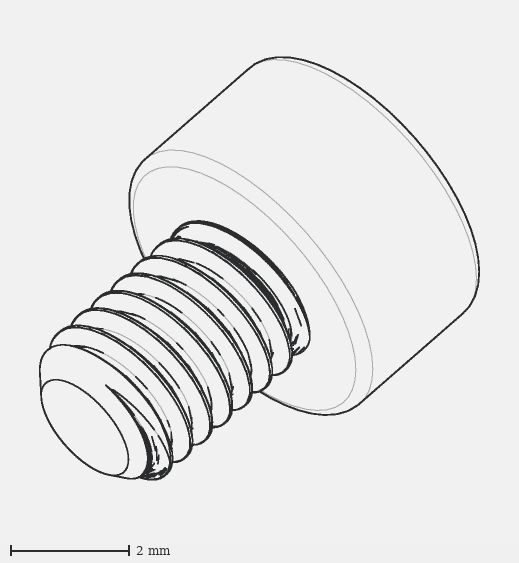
import cadquery as cq
import math

total_length = 7.0
head_length = 3.0
head_diameter = 5.5
head_edge_radius = 0.2
shank_length = total_length - head_length

thread_diameter = 3.0
pitch = shank_length / 8
flank_half_angle = math.radians(30)
fundamental_height = pitch / (2 * math.tan(flank_half_angle))
thread_depth = 5 / 8 * fundamental_height
crest_width = pitch / 8
crest_radius = thread_diameter / 2
core_radius = crest_radius - thread_depth
crest_from_tip = 0.525

tip_radius = 1.0

FULL_TURN = 360
FLANK_STEPS = 12
crest_angle = FULL_TURN * crest_width / pitch
flank_angle = FULL_TURN * thread_depth * math.tan(flank_half_angle) / pitch
root_angle = FULL_TURN - crest_angle - 2 * flank_angle

head_overlap = 0.07
envelope_margin = 0.35


def make_head():
    """Cylindrical head with both rims rounded, starting at the end of the shank."""
    return (
        cq.Workplane("XY")
        .workplane(offset=shank_length)
        .circle(head_diameter / 2)
        .extrude(head_length)
        .edges("%CIRCLE")
        .fillet(head_edge_radius)
    )


def polar_point(radius, angle):
    """Cartesian point at a radius and an angle in degrees."""
    turn = math.radians(angle)
    return (radius * math.cos(turn), radius * math.sin(turn))


def flank_points(start_radius, end_radius, start_angle):
    """Points after the start of an Archimedean spiral, the cross-section of a thread flank."""
    points = []
    for step in range(1, FLANK_STEPS + 1):
        fraction = step / FLANK_STEPS
        radius = start_radius + fraction * (end_radius - start_radius)
        points.append(polar_point(radius, start_angle + fraction * flank_angle))
    return points


def make_tip_envelope():
    """Space that the thread may fill: a 45 degree cone at the tip, then a wide cylinder."""
    outer_radius = crest_radius + envelope_margin
    top = shank_length + envelope_margin
    return (
        cq.Workplane("XZ")
        .polyline([
            (0, 0),
            (tip_radius, 0),
            (outer_radius, outer_radius - tip_radius),
            (outer_radius, top),
            (0, top),
        ])
        .close()
        .revolve(360, (0, 0, 0), (0, 1, 0))
    )


def make_shank():
    """Threaded rod made by twisting its cross-section along the axis, trimmed at the tip."""
    crest_end = crest_angle / 2
    root_start = crest_end + flank_angle
    root_end = root_start + root_angle
    length = shank_length + head_overlap
    rod = (
        cq.Workplane("XY")
        .moveTo(*polar_point(crest_radius, -crest_end))
        .threePointArc((crest_radius, 0), polar_point(crest_radius, crest_end))
        .spline(flank_points(crest_radius, core_radius, crest_end), includeCurrent=True)
        .threePointArc((-core_radius, 0), polar_point(core_radius, root_end))
        .spline(flank_points(core_radius, crest_radius, root_end), includeCurrent=True)
        .close()
        .twistExtrude(length, FULL_TURN * length / pitch)
        .rotate((0, 0, 0), (0, 0, 1), -FULL_TURN * crest_from_tip / pitch)
    )
    return rod.intersect(make_tip_envelope())


upright_screw = make_shank().union(make_head())
result = (
    upright_screw
    .rotate((0, 0, 0), (1, 0, 0), -90)
    .translate((0, -shank_length, 0))
)